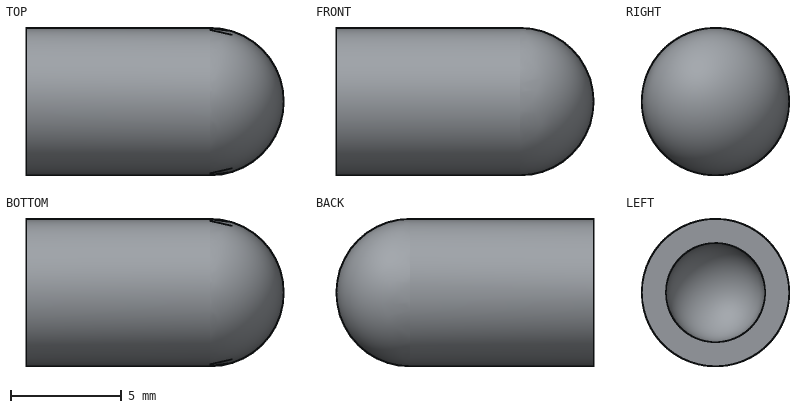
import cadquery as cq

total_length = 11.7
outer_diameter = 6.7
bore_diameter = 4.5

outer_radius = outer_diameter / 2
bore_radius = bore_diameter / 2
straight_length = total_length - outer_radius


def round_nosed_rod(radius):
    """Rod from the YZ plane along +X, ending in a hemisphere."""
    rod = cq.Workplane("YZ").circle(radius).extrude(straight_length)
    dome = cq.Workplane("XY").sphere(radius).translate((straight_length, 0, 0))
    return rod.union(dome)


body = round_nosed_rod(outer_radius)
bore = round_nosed_rod(bore_radius)
result = body.cut(bore)